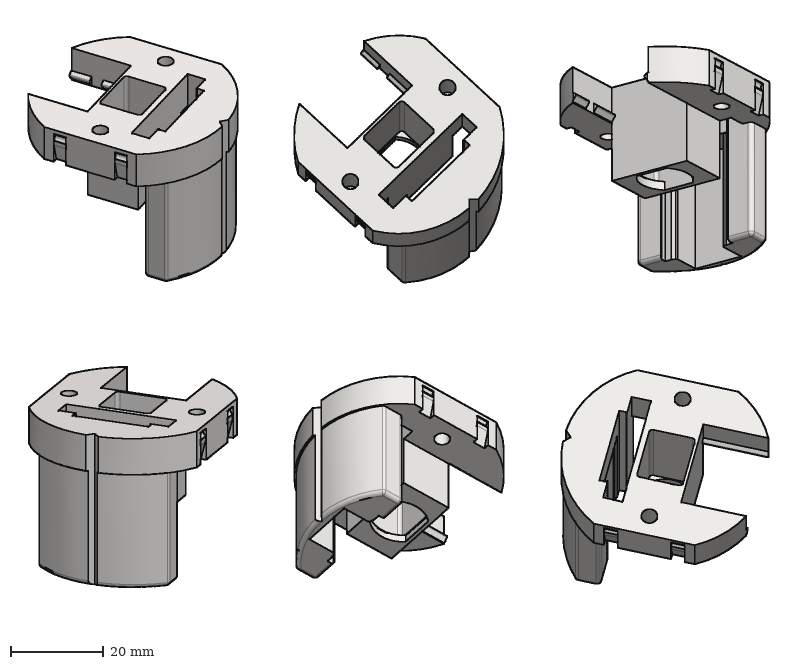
import cadquery as cq
import math


disc_radius = 22.8
total_length = 43.32
flat_half_width = 19.8
plate_thickness = 8.4
total_height = 34.85
bay_half_width = 10.05
notch_half_width = 1.48
notch_depth = 1.42
disc_right_x = math.sqrt(disc_radius**2 - notch_half_width**2)

screw_hole_diameter = 3.5
screw_hole_offset = 15.1

block_left_x = -5.85
block_right_x = 6.55
block_half_width = 10.0
block_drop = 13.5

pocket_left_x = -5.15
pocket_right_x = 5.12
pocket_half_width = 6.1
pocket_corner_radius = 0.8
pocket_floor_thickness = 2.0
opening_left_x = -4.95
opening_half_length = 6.6
opening_half_width = 5.97

leg_inner_x = 10.9
leg_radius = 22.4
leg_half_width = 15.38
leg_edge_radius = 1.0
leg_drop = total_height - plate_thickness

slot_half_width = 12.98
step_outer_x = 12.7
step_half_width = 8.98
lip_thickness = 0.18
lip_half_width = 8.73

relief_mouth_half_width = 7.35
relief_throat_half_width = 6.4
channel_half_width = 6.1
relief_slope_depth = 0.34
relief_throat_depth = 0.59
channel_back_x = 20.0

rail_start_x = disc_right_x - total_length
rail_top_z = 2.45
rail_tip_z = 1.7
rail_bottom_z = 0.25
rail_tip_half_width = 9.0
rail_tip_radius = 0.3
rail_gap_start_x = -15.55
rail_gap_end_x = -12.65

clip_center_offset = 7.5
clip_width = 3.04
clip_top_z = plate_thickness - 1.2
clip_hollow_middle_z = plate_thickness - 1.95
clip_lip_z = plate_thickness - 2.85
clip_ridge_top_z = plate_thickness - 2.98
clip_ridge_z = plate_thickness - 4.05
clip_hollow_top_depth = 0.2
clip_hollow_depth = 0.65
clip_lip_depth = 0.06
clip_ridge_top_depth = 0.12
clip_ridge_depth = 0.15
clip_bottom_depth = 1.25


def centered_box(x_range, half_width, z_range):
    """Box between the given X and Z limits, symmetric about the XZ plane."""
    left_x, right_x = x_range
    bottom_z, top_z = z_range
    solid = cq.Workplane("XY").box(
        right_x - left_x, 2 * half_width, top_z - bottom_z, centered=(False, True, False)
    )
    return solid.translate((left_x, 0, bottom_z))


def make_plate():
    plate = cq.Workplane("XY").circle(disc_radius).extrude(plate_thickness)
    plate = plate.intersect(
        centered_box((-disc_radius, disc_radius), flat_half_width, (0, plate_thickness))
    )
    return plate.cut(
        centered_box((-disc_radius, block_left_x), bay_half_width, (0, plate_thickness))
    )


def make_block():
    return centered_box((block_left_x, block_right_x), block_half_width, (-block_drop, 0))


def make_leg():
    leg = cq.Workplane("XY").circle(leg_radius).extrude(-leg_drop)
    leg = leg.intersect(
        centered_box((leg_inner_x, leg_radius), leg_half_width, (-leg_drop, 0))
    )
    return leg.edges("|Z").fillet(leg_edge_radius).faces("<Z").edges().fillet(leg_edge_radius)


def make_rail(side, start_x, end_x):
    """Snap rail on the bay wall at the given side (+1 or -1 along Y), with a rounded tip."""
    root_y = side * bay_half_width
    profile = [
        (root_y, rail_top_z),
        (side * rail_tip_half_width, rail_tip_z),
        (root_y, rail_bottom_z),
    ]
    rail = cq.Workplane("YZ").polyline(profile).close().extrude(end_x - start_x)
    tip_edge = "<Y" if side > 0 else ">Y"
    rail = rail.edges("|X").edges(tip_edge).fillet(rail_tip_radius)
    disc = cq.Workplane("XY").circle(disc_radius).extrude(plate_thickness)
    return rail.translate((start_x, 0, 0)).intersect(disc)


def make_screw_holes():
    return (
        cq.Workplane("XY")
        .pushPoints([(0, screw_hole_offset), (0, -screw_hole_offset)])
        .circle(screw_hole_diameter / 2)
        .extrude(plate_thickness)
    )


def make_pocket():
    floor_z = pocket_floor_thickness - block_drop
    pocket = centered_box((pocket_left_x, pocket_right_x), pocket_half_width, (floor_z, plate_thickness))
    pocket = pocket.edges("|Z").fillet(pocket_corner_radius)
    opening = (
        cq.Workplane("XY")
        .workplane(offset=-block_drop)
        .ellipse(opening_half_length, opening_half_width)
        .extrude(pocket_floor_thickness)
    )
    opening = opening.intersect(
        centered_box((opening_left_x, pocket_right_x), pocket_half_width, (-block_drop, floor_z))
    )
    return pocket.union(opening)


def make_board_slot():
    full_height = (-leg_drop, plate_thickness)
    slot = centered_box((block_right_x, leg_inner_x), slot_half_width, (0, plate_thickness))
    lip_x = leg_inner_x + lip_thickness
    mouth = centered_box((leg_inner_x, lip_x), lip_half_width, full_height)
    step = centered_box((lip_x, step_outer_x), step_half_width, full_height)
    return slot.union(mouth).union(step)


def make_leg_relief():
    side = [
        (step_outer_x, relief_mouth_half_width),
        (step_outer_x + relief_slope_depth, relief_throat_half_width),
        (step_outer_x + relief_throat_depth, channel_half_width),
        (channel_back_x, channel_half_width),
    ]
    mirrored_side = [(x, -y) for x, y in reversed(side)]
    return cq.Workplane("XY").polyline(side + mirrored_side).close().extrude(-leg_drop)


def make_notch():
    """V notch down the +X side of plate and leg."""
    root_x = disc_right_x - notch_depth
    mouth_x = disc_radius + notch_depth
    mouth_half_width = notch_half_width * (mouth_x - root_x) / notch_depth
    profile = [(root_x, 0), (mouth_x, mouth_half_width), (mouth_x, -mouth_half_width)]
    notch = cq.Workplane("XY").polyline(profile).close().extrude(total_height)
    return notch.translate((0, 0, -leg_drop))


def make_clip_recess(center_x):
    """Recess in the -Y flat: a rounded hollow above a ridge that ramps inward to the underside."""
    face_y = -flat_half_width
    recess = (
        cq.Workplane("YZ")
        .moveTo(face_y, clip_top_z)
        .lineTo(face_y + clip_hollow_top_depth, clip_top_z)
        .threePointArc(
            (face_y + clip_hollow_depth, clip_hollow_middle_z),
            (face_y + clip_lip_depth, clip_lip_z),
        )
        .lineTo(face_y + clip_ridge_top_depth, clip_ridge_top_z)
        .lineTo(face_y + clip_ridge_depth, clip_ridge_z)
        .lineTo(face_y + clip_bottom_depth, 0)
        .lineTo(face_y, 0)
        .close()
        .extrude(clip_width / 2, both=True)
    )
    return recess.translate((center_x, 0, 0))


result = make_plate().union(make_block()).union(make_leg())
result = result.union(make_rail(-1, rail_start_x, block_left_x))
result = result.union(make_rail(1, rail_start_x, rail_gap_start_x))
result = result.union(make_rail(1, rail_gap_end_x, block_left_x))

for cutter in (make_screw_holes(), make_pocket(), make_board_slot(), make_leg_relief(), make_notch()):
    result = result.cut(cutter)

for clip_x in (-clip_center_offset, clip_center_offset):
    clip_recess = make_clip_recess(clip_x)
    result = result.cut(clip_recess).cut(clip_recess.mirror("XZ"))